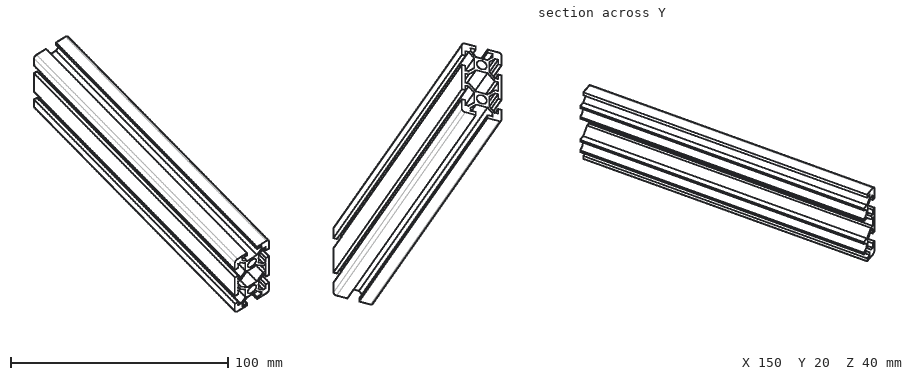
import cadquery as cq

length = 150.0
width = 20.0
height = 40.0
corner_radius = 1.5

slot_opening = 5.8
slot_inner_width = 11.2
lip_thickness = 1.8

core_width = 7.6
bore_diameter = 5.0
web_offset = 0.98

cavity_wall_height = 5.1

core_center_z = (height - width) / 2
half_width = width / 2
half_core = core_width / 2


def extrude_outline(points):
    """Extrude a closed YZ outline over the whole length."""
    return cq.Workplane("YZ").polyline(points).close().extrude(length)


def mirrored_outline(half_points):
    """Complete an outline that is symmetric about its second axis."""
    return half_points + [(-across, along) for across, along in reversed(half_points)]


def make_body():
    body = cq.Workplane("YZ").rect(width, height).extrude(length)
    return body.edges("|X").fillet(corner_radius)


def make_slot():
    """T-slot opening toward +Z, for a core centred on the origin."""
    half_opening = slot_opening / 2
    half_inner = slot_inner_width / 2
    lip_level = half_width - lip_thickness
    half_profile = [
        (half_core - web_offset, half_core),
        (half_inner, half_inner + web_offset),
        (half_inner, lip_level),
        (half_opening, lip_level),
        (half_opening, half_width),
    ]
    return extrude_outline(mirrored_outline(half_profile))


def make_cavity():
    """Hollow with straight side walls and 45 degree faces rising to the cores."""
    half_wall = cavity_wall_height / 2
    top = core_center_z - half_core
    top_half_width = half_core - web_offset
    shoulder = top_half_width + top - half_wall
    inner_wall = half_width - lip_thickness
    upper_right = [
        (inner_wall, half_wall),
        (shoulder, half_wall),
        (top_half_width, top),
    ]
    lower_right = [(y, -z) for y, z in reversed(upper_right)]
    return extrude_outline(mirrored_outline(lower_right + upper_right))


result = make_body().cut(make_cavity())
slot = make_slot()
x_axis_ends = ((0, 0, 0), (1, 0, 0))

for side in (1, -1):
    outward_angle = 0 if side > 0 else 180
    for angle in (outward_angle, 90, -90):
        placed_slot = slot.rotate(*x_axis_ends, angle).translate((0, 0, side * core_center_z))
        result = result.cut(placed_slot)
    bore = cq.Workplane("YZ").center(0, side * core_center_z).circle(bore_diameter / 2).extrude(length)
    result = result.cut(bore)